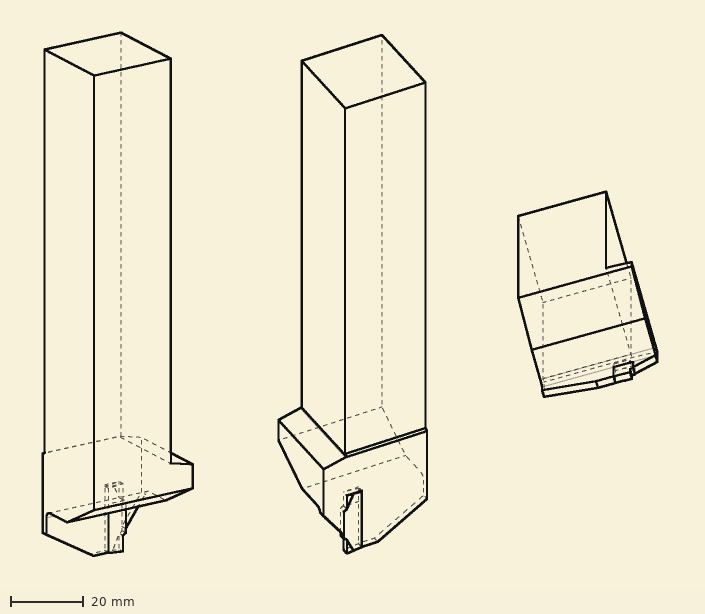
import cadquery as cq

length = 151.4
width = 26.0
head_depth = 32.4
shank_depth = 25.1

blade_thickness = 2.0
shank_offset = 0.9
ledge_height = 33.0
ledge_rise = 0.5
shoulder_height = 16.6
shoulder_end = 12.4
bevel_top = 24.4
shoulder_fillet = 1.8
ledge_flat = 0.5
head_back_top = 31.3
head_back_bottom = 15.3
blade_bottom = 0.6
front_bevel_top = 9.8
front_bevel_end = 15.5

insert_front = 20.5
insert_depth = shank_depth - insert_front
insert_height = 19.8
ridge_rise = 0.9
ridge_slope_height = 0.6
ridge_start = 5.3
end_clearance = 0.5
land_depth = 2.1
side_relief = 0.08


def extrude_along_x(points, start, thickness):
    """Solid from a (Y, Z) outline, from X = start towards +X."""
    return cq.Workplane("YZ", origin=(start, 0, 0)).polyline(points).close().extrude(thickness)


def insert_outline(clearance):
    """Points (Y, Z) of the insert, its ends falling away by the given clearance."""
    ridge = shank_depth + ridge_rise
    ridge_foot = ridge_start - ridge_slope_height
    return [
        (insert_front, clearance),
        (shank_depth, 0),
        (shank_depth, ridge_foot),
        (ridge, ridge_start),
        (ridge, insert_height - ridge_start),
        (shank_depth, insert_height - ridge_foot),
        (shank_depth, insert_height),
        (insert_front, insert_height - clearance),
    ]


def make_holder():
    front_profile = (
        cq.Workplane("XZ")
        .polyline([
            (0, 0),
            (blade_thickness, 0),
            (blade_thickness, shoulder_height),
            (shoulder_end, shoulder_height),
            (width, bevel_top),
            (width, length),
            (shank_offset, length),
            (shank_offset, ledge_height + ledge_rise),
            (0, ledge_height),
        ])
        .close()
        .extrude(-head_depth)
    )
    shoulder_corner = cq.selectors.NearestToPointSelector(
        (blade_thickness, head_depth / 2, shoulder_height)
    )
    front_profile = front_profile.edges(shoulder_corner).fillet(shoulder_fillet)

    side_profile = extrude_along_x(
        [
            (0, front_bevel_top),
            (front_bevel_end, blade_bottom),
            (insert_front, blade_bottom),
            (shank_depth, ridge_start),
            (head_depth, head_back_bottom),
            (head_depth, head_back_top),
            (shank_depth + ledge_flat, ledge_height),
            (shank_depth, ledge_height),
            (shank_depth, length),
            (0, length),
        ],
        0,
        width,
    )
    pocket = extrude_along_x(insert_outline(0), 0, blade_thickness)
    return front_profile.intersect(side_profile).cut(pocket)


def make_insert():
    blank = extrude_along_x(insert_outline(end_clearance), 0, blade_thickness)
    land_front = shank_depth - land_depth
    land_end = end_clearance * land_depth / insert_depth
    ridge_foot = ridge_start - ridge_slope_height
    relief_blank = extrude_along_x(insert_outline(end_clearance), 0, side_relief)
    lower_land = extrude_along_x(
        [(land_front, land_end), (shank_depth, 0), (shank_depth, ridge_foot)], 0, side_relief
    )
    upper_land = lower_land.mirror("XY").translate((0, 0, insert_height))
    return blank.cut(relief_blank.cut(lower_land).cut(upper_land))


holder = make_holder()
insert = make_insert()

result = cq.Compound.makeCompound([holder.solids().val(), insert.solids().val()])